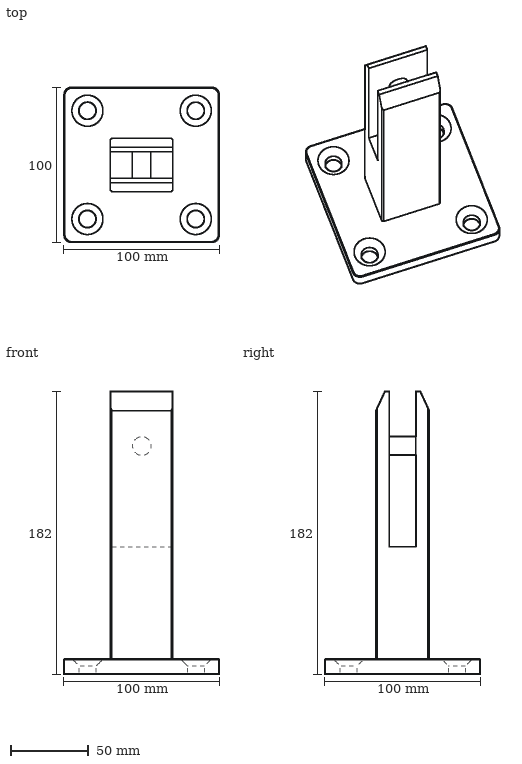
import cadquery as cq

total_height = 182.0
plate_side = 100.0
plate_thickness = 10.0
plate_corner_radius = 5.0
plate_top_chamfer = 0.5

hole_spacing = 69.7
hole_diameter = 11.0
countersink_diameter = 20.0
countersink_angle = 90.0

post_width = 40.0
post_depth = 34.4
post_edge_chamfer = 1.0
slot_width = 17.1
slot_depth = 100.0
jaw_tip_thickness = 3.0
jaw_bevel_height = 12.4

pin_diameter = 12.0
pin_below_top = 35.0

post_height = total_height - plate_thickness
pin_height = total_height - pin_below_top


def make_base_plate():
    """Rounded square plate standing on Z = 0, with four countersunk holes."""
    return (
        cq.Workplane("XY")
        .rect(plate_side, plate_side)
        .extrude(plate_thickness)
        .edges("|Z")
        .fillet(plate_corner_radius)
        .faces(">Z")
        .edges()
        .chamfer(plate_top_chamfer)
        .faces(">Z")
        .workplane(origin=(0, 0, plate_thickness))
        .rect(hole_spacing, hole_spacing, forConstruction=True)
        .vertices()
        .cskHole(hole_diameter, countersink_diameter, countersink_angle)
    )


def make_post():
    """Rectangular post with chamfered upright edges and bevelled jaw tips."""
    column = (
        cq.Workplane("XY", origin=(0, 0, plate_thickness))
        .rect(post_width, post_depth)
        .extrude(post_height)
        .edges("|Z")
        .chamfer(post_edge_chamfer)
    )
    half_depth = post_depth / 2
    half_tip = slot_width / 2 + jaw_tip_thickness
    bevel_start = total_height - jaw_bevel_height
    bevelled_envelope = (
        cq.Workplane("YZ")
        .polyline([
            (-half_depth, plate_thickness),
            (half_depth, plate_thickness),
            (half_depth, bevel_start),
            (half_tip, total_height),
            (-half_tip, total_height),
            (-half_depth, bevel_start),
        ])
        .close()
        .extrude(post_width / 2, both=True)
    )
    slot = cq.Workplane("XY", origin=(0, 0, total_height - slot_depth)).box(
        post_width, slot_width, slot_depth, centered=(True, True, False)
    )
    return column.intersect(bevelled_envelope).cut(slot)


def make_pin():
    """Round pin bridging the slot from jaw to jaw."""
    return (
        cq.Workplane("XZ", origin=(0, 0, pin_height))
        .circle(pin_diameter / 2)
        .extrude(slot_width / 2, both=True)
    )


result = make_base_plate().union(make_post()).union(make_pin())